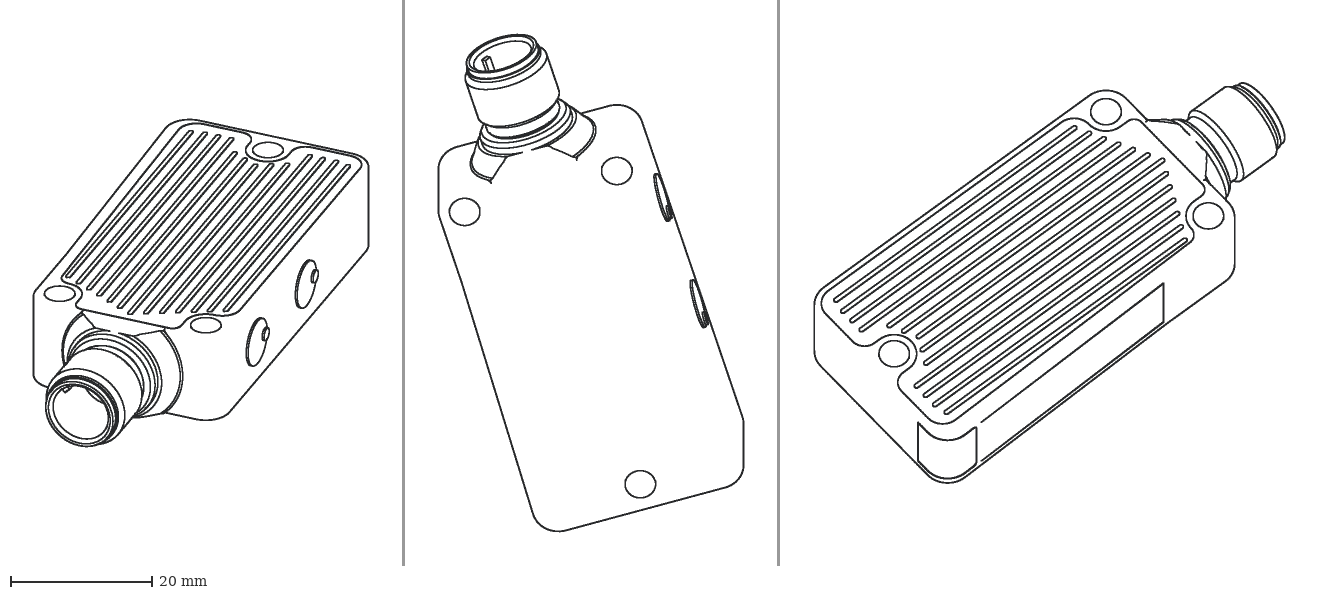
import cadquery as cq
import math


total_length = 72.0
body_length = 56.5
body_height = 13.6
half_width = 15.0
corner_radius = 3.75
edge_radius = 0.5
taper_start = 14.55
taper_slope = math.tan(math.radians(1.5))
half_height = body_height / 2

hole_diameter = 4.3
front_hole_x = half_width - corner_radius
front_hole_y = corner_radius
back_hole_y = body_length - 4.2

panel_depth = 0.1
panel_inset = 1.0
panel_left_margin = 2.1
panel_front_radius = 1.4
panel_flare_radius = 2.15
boss_radius = 3.2

groove_pitch = 2.0
groove_width = 0.65
grooves_per_side = 6
groove_end_step = groove_pitch / 2
groove_front = 2.45
last_shortened_groove = 2
groove_back_middle = 8.35
groove_back_side = 2.9
groove_back_outer = 3.3

label_depth = 0.1
window_depth = 0.1
label_height = 10.65
label_front = 15.2
label_back = body_length - 6.9
window_height = 10.5
window_reach = 6.0
window_corner_radius = 0.6

button_diameter = 6.9
button_height = 0.3
button_y = (12.95, 30.6)
pip_diameter = 1.9
pip_height = 0.3
sink = 0.35

connector_length = total_length - body_length
cone_root = 0.7
flare_radius = 9.3
flare_length = 0.2
cone_base_radius = 9.0
cone_end_radius = 7.3
cone_length = 2.9
cone_lip = 0.2
flat_chamfer_length = 0.6
flat_chamfer_height = 0.15
collar_radius = 6.7
collar_end = 4.5
collar_chamfer = 0.4
collar_chamfer_length = 0.65
undercut_radius = 5.2
undercut_end = 4.9
core_radius = 5.4
thread_radius = 6.05
thread_start = 6.5
thread_end = 14.05
thread_lead_in = 0.65
thread_lead_out = 0.8
tip_radius = 5.2
tip_start = 14.55
bore_depth = 10.1
bore_mouth_radius = 4.25
bore_floor_radius = 3.8
bore_chamfer = 0.5
key_width = 1.0
key_inner_radius = 3.45
key_length = 8.65
key_angle = -135


def side_x(y):
    """X of the -X side at a given Y."""
    return -half_width - taper_slope * max(0.0, y - taper_start)


def body_prism(height, inset=0.0):
    """Housing outline with its four corners rounded, extruded symmetrically about Z = 0."""
    front = inset
    back = body_length - inset
    outline = [
        (-half_width + inset, front),
        (half_width - inset, front),
        (half_width - inset, back),
        (side_x(body_length) + inset, back),
        (-half_width + inset, taper_start),
    ]
    prism = cq.Workplane("XY").polyline(outline).close().extrude(height / 2, both=True)
    upright = prism.edges("|Z").vals()
    corners = [edge for edge in upright if abs(edge.Center().y - taper_start) > corner_radius]
    return prism.newObject(corners).fillet(corner_radius - inset)


def revolve_about_axis(profile):
    """Revolve (radius, distance from the housing face) points about the connector axis."""
    points = [(radius, -distance) for radius, distance in profile]
    return cq.Workplane("XY").polyline(points).close().revolve(360, (0, 0), (0, 1))


def make_cone():
    """Conical neck with a small root flare, cut flush with the top and bottom of the housing."""
    cone = revolve_about_axis([
        (0, -cone_root),
        (flare_radius, -cone_root),
        (flare_radius, 0),
        (cone_base_radius, flare_length),
        (cone_end_radius + cone_lip, cone_length - cone_lip),
        (cone_end_radius, cone_length),
        (0, cone_length),
    ])
    flats = (
        cq.Workplane("XY")
        .box(4 * flare_radius, 2 * cone_length, body_height)
        .faces("<Y")
        .edges("|X")
        .chamfer(flat_chamfer_height, flat_chamfer_length)
    )
    return cone.intersect(flats)


def make_plug():
    """Collar, undercut, thread cylinder and stepped tip."""
    return revolve_about_axis([
        (0, -cone_root),
        (core_radius, -cone_root),
        (core_radius, cone_length - cone_lip),
        (collar_radius, cone_length - cone_lip),
        (collar_radius, collar_end - collar_chamfer_length),
        (collar_radius - collar_chamfer, collar_end),
        (undercut_radius, collar_end),
        (undercut_radius, undercut_end),
        (core_radius, undercut_end),
        (core_radius, thread_start),
        (thread_radius, thread_start + thread_lead_in),
        (thread_radius, thread_end - thread_lead_out),
        (core_radius, thread_end),
        (core_radius, tip_start),
        (tip_radius, tip_start),
        (tip_radius, connector_length),
        (0, connector_length),
    ])


def make_bore():
    """Tapered bore with a chamfered mouth and a coding key left on its wall."""
    bore = revolve_about_axis([
        (0, connector_length - bore_depth),
        (bore_floor_radius, connector_length - bore_depth),
        (bore_mouth_radius, connector_length - bore_chamfer),
        (bore_mouth_radius + bore_chamfer, connector_length),
        (0, connector_length),
    ])
    key = (
        cq.Workplane("XY")
        .box(tip_radius, key_length, key_width, centered=(False, False, True))
        .translate((key_inner_radius, bore_depth - connector_length - key_length, 0))
        .rotate((0, 0, 0), (0, 1, 0), key_angle)
    )
    return bore.cut(key)


def make_panel():
    """Shallow recess whose outline runs around the three hole lands."""
    front = panel_inset
    back = body_length - panel_inset
    right = half_width - panel_inset
    corner = corner_radius - panel_inset
    land_top = front_hole_y + boss_radius
    inner_x = front_hole_x - boss_radius
    flare_x = boss_radius + panel_flare_radius
    flare_y = back - panel_flare_radius
    left_front = side_x(land_top) + panel_left_margin
    left_radius = -front_hole_x - left_front
    left_low_y = land_top + left_radius
    left_high_y = back - corner
    left_high = side_x(left_high_y) + panel_left_margin
    outline = (
        cq.Workplane("XY", origin=(0, 0, half_height - panel_depth))
        .moveTo(-inner_x + panel_front_radius, front)
        .lineTo(inner_x - panel_front_radius, front)
        .radiusArc((inner_x, front + panel_front_radius), -panel_front_radius)
        .lineTo(inner_x, front_hole_y)
        .radiusArc((front_hole_x, land_top), boss_radius)
        .radiusArc((right, land_top + right - front_hole_x), -(right - front_hole_x))
        .lineTo(right, back - corner)
        .radiusArc((right - corner, back), -corner)
        .lineTo(flare_x, back)
        .radiusArc((boss_radius, flare_y), -panel_flare_radius)
        .lineTo(boss_radius, back_hole_y)
        .threePointArc((0, back_hole_y - boss_radius), (-boss_radius, back_hole_y))
        .lineTo(-boss_radius, flare_y)
        .radiusArc((-flare_x, back), -panel_flare_radius)
        .lineTo(left_high + corner, back)
        .radiusArc((left_high, left_high_y), -corner)
        .lineTo(left_front, left_low_y)
        .radiusArc((-front_hole_x, land_top), -left_radius)
        .radiusArc((-inner_x, front_hole_y), boss_radius)
        .lineTo(-inner_x, front + panel_front_radius)
        .radiusArc((-inner_x + panel_front_radius, front), -panel_front_radius)
        .close()
    )
    return outline.extrude(2 * panel_depth)


def groove_ends(index):
    """Front and back Y of a groove counted outward from the middle one."""
    front = groove_front + groove_end_step * index
    if index <= last_shortened_groove:
        back_margin = groove_back_middle - groove_end_step * index
    elif index < grooves_per_side:
        back_margin = groove_back_side
    else:
        back_margin = groove_back_outer
    return front, body_length - back_margin


def make_groove(x, front, back):
    """Half-round cutter with ball ends, lying along Y at the panel floor."""
    radius = groove_width / 2
    return (
        cq.Workplane("XY")
        .moveTo(0, front)
        .radiusArc((radius, front + radius), -radius)
        .lineTo(radius, back - radius)
        .radiusArc((0, back), -radius)
        .close()
        .revolve(360, (0, 0), (0, 1))
        .translate((x, 0, half_height - panel_depth))
    )


def make_grooves():
    grooves = cq.Workplane("XY")
    for position in range(-grooves_per_side, grooves_per_side + 1):
        front, back = groove_ends(abs(position))
        grooves = grooves.add(make_groove(position * groove_pitch, front, back))
    return grooves.combine()


def make_holes():
    centres = [(-front_hole_x, front_hole_y), (front_hole_x, front_hole_y), (0, back_hole_y)]
    return (
        cq.Workplane("XY")
        .pushPoints(centres)
        .circle(hole_diameter / 2)
        .extrude(body_height, both=True)
    )


def make_label():
    """Wedge-shaped label recess in the tapered side, fading out towards the back."""
    front_x = side_x(label_front)
    back_x = side_x(label_back)
    wedge = [
        (front_x + label_depth, label_front),
        (back_x, label_back),
        (back_x - label_depth, label_back),
        (back_x - label_depth, label_front),
    ]
    return cq.Workplane("XY").polyline(wedge).close().extrude(label_height / 2, both=True)


def make_window():
    """Thin window recess in the housing wall, wrapped round the back corner of the tapered side."""
    skin = body_prism(body_height).cut(body_prism(body_height, window_depth))
    block = cq.Workplane("XY").box(2 * window_reach, 2 * window_reach, window_height)
    block = block.faces("<Y").edges("|X").fillet(window_corner_radius)
    return skin.intersect(block.translate((side_x(body_length), body_length, 0)))


def make_button(y):
    """Round button with a small raised pip at its back edge."""
    pip_y = y + (button_diameter - pip_diameter) / 2
    base = half_width - sink
    button = (
        cq.Workplane("YZ", origin=(base, y, 0))
        .circle(button_diameter / 2)
        .extrude(sink + button_height)
    )
    pip = (
        cq.Workplane("YZ", origin=(base, pip_y, 0))
        .circle(pip_diameter / 2)
        .extrude(sink + button_height + pip_height)
    )
    return button.union(pip)


result = body_prism(body_height).faces("|Z").edges().fillet(edge_radius)
result = result.cut(make_label()).cut(make_window())
result = result.union(make_cone()).union(make_plug()).cut(make_bore())
result = result.cut(make_panel()).cut(make_grooves()).cut(make_holes())
for y in button_y:
    result = result.union(make_button(y))